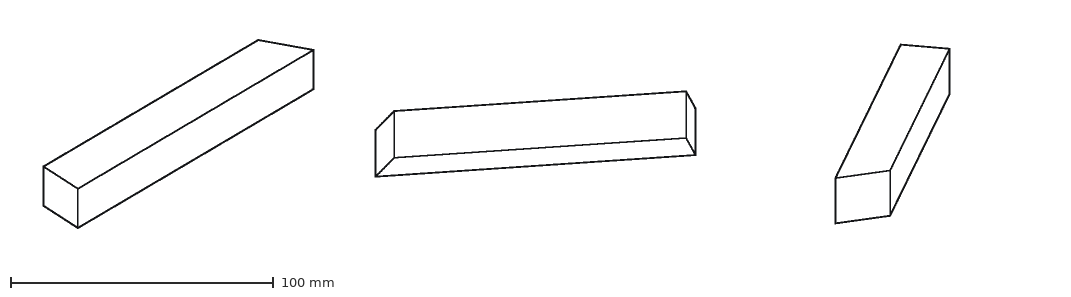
import cadquery as cq
import math

bar_width = 19.0
bar_height = 19.0
long_edge_length = 124.0
slant_angle = math.radians(60.0)

along_x = math.cos(slant_angle)
along_y = math.sin(slant_angle)

square_end_right = (0.0, 0.0)
square_end_left = (-bar_width * along_y, bar_width * along_x)

mitre_right = (long_edge_length * along_x, long_edge_length * along_y)
mitre_length = bar_width / along_y
mitre_left = (mitre_right[0] - mitre_length, mitre_right[1])

result = (
    cq.Workplane("XY")
    .polyline([square_end_right, mitre_right, mitre_left, square_end_left])
    .close()
    .extrude(bar_height)
)